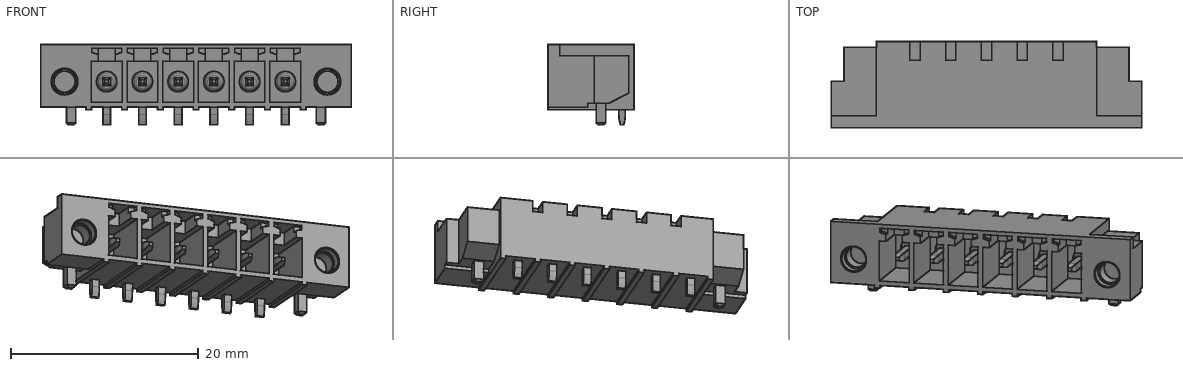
import cadquery as cq
import math


CONTACTS = 6
PITCH = 3.8
ROW_CENTERS = [(i - (CONTACTS - 1) / 2) * PITCH for i in range(CONTACTS)]
DIVIDERS = [(i - CONTACTS / 2) * PITCH for i in range(CONTACTS + 1)]
CONTACT_Z = 3.02

LENGTH = 33.15
DEPTH = 9.2
HEIGHT = 7.0
STANDOFF = 0.3
RIB_WIDTH = 0.6
CORE_LENGTH = CONTACTS * PITCH + RIB_WIDTH

FRONT_WALL = 1.3
FLANGE_TOP = 5.77
FLANGE_STEP_Y = 4.97
FLANGE_BACK_Y = 8.62
FLANGE_INNER_LENGTH = 30.43
RECESS_Y = 4.28
RECESS_Z = 0.7
SLOPE_FOOT_Y = 6.5
SLOPE_TOP_Z = 1.8

CELL_WIDTH = 3.28
CELL_BOTTOM = 0.8
CELL_TOP = 5.17
CELL_DEPTH = 6.55
KEY_WIDTH = 1.82
KEY_DEPTH = 3.3
KEY_TOP = 6.55
WING_WIDTH = 3.18
WING_DEPTH = 0.65
WING_OUTER_Z = 6.13
WING_INNER_Z = 5.9

COLLAR_BASE_RADIUS = 1.1
COLLAR_SHOULDER_RADIUS = 0.9
COLLAR_END_RADIUS = 0.7
COLLAR_CONE_HEIGHT = 0.53
COLLAR_HEIGHT = 0.7

SLOT_WIDTH = 1.1
SLOT_DEPTH = 2.0

HOLE_X = 14.02
HOLE_Z = CONTACT_Z
HOLE_RADIUS = 1.13
HOLE_DEPTH = 3.0
COUNTERBORE_RADIUS = 1.33
COUNTERBORE_DEPTH = 1.15
COUNTERBORE_CHAMFER = 0.1

TAIL_END_Z = -1.6

PIN_SIZE = 0.83
PIN_FRONT_Y = 1.4
PIN_END_SIZE = 0.35
PIN_POINT_LENGTH = 1.13
LEAD_Y = 7.92
LEAD_THICKNESS = 0.73

PEG_X = 13.33
PEG_Y = 5.67
PEG_SIZE = 1.03
PEG_CHAMFER = 0.23


def block(x, width, y0, y1, z0, z1):
    """Box centered on x, spanning y0..y1 and z0..z1."""
    box = cq.Workplane("XY").box(width, y1 - y0, z1 - z0, centered=(True, False, False))
    return box.translate((x, y0, z0))


def flanges():
    """Both end flanges as one bar: front wall, stepped ends and a sloped underside."""
    side = [
        (0, STANDOFF),
        (RECESS_Y, STANDOFF),
        (RECESS_Y, RECESS_Z),
        (SLOPE_FOOT_Y, RECESS_Z),
        (FLANGE_BACK_Y, SLOPE_TOP_Z),
        (FLANGE_BACK_Y, FLANGE_TOP),
        (FRONT_WALL, FLANGE_TOP),
        (FRONT_WALL, HEIGHT),
        (0, HEIGHT),
    ]
    bar = cq.Workplane("YZ").polyline(side).close().extrude(LENGTH / 2, both=True)
    step_width = (LENGTH - FLANGE_INNER_LENGTH) / 2
    for end in (-1, 1):
        x = end * (LENGTH - step_width) / 2
        bar = bar.cut(block(x, step_width, FLANGE_STEP_Y, DEPTH, 0, HEIGHT))
    return bar


def core():
    """Central block with standoff ribs under the dividers."""
    body = block(0, CORE_LENGTH, 0, DEPTH, STANDOFF, HEIGHT)
    for x in DIVIDERS:
        body = body.union(block(x, RIB_WIDTH, 0, DEPTH, 0, CELL_BOTTOM))
    return body


def cell_cavity(x):
    """Open cell with its keyway, less the collar left standing on the back wall."""
    cavity = block(x, CELL_WIDTH, 0, CELL_DEPTH, CELL_BOTTOM, CELL_TOP)
    cavity = cavity.union(block(x, KEY_WIDTH, 0, KEY_DEPTH, CELL_TOP, KEY_TOP))
    wings = [
        (x - WING_WIDTH / 2, KEY_TOP),
        (x - WING_WIDTH / 2, WING_OUTER_Z),
        (x - KEY_WIDTH / 2, WING_INNER_Z),
        (x + KEY_WIDTH / 2, WING_INNER_Z),
        (x + WING_WIDTH / 2, WING_OUTER_Z),
        (x + WING_WIDTH / 2, KEY_TOP),
    ]
    cavity = cavity.union(cq.Workplane("XZ").polyline(wings).close().extrude(-WING_DEPTH))
    return cavity.cut(collar(x))


def collar(x):
    """Tapered collar with a rounded shoulder around the pin."""
    shoulder_y = CELL_DEPTH - COLLAR_CONE_HEIGHT
    end_y = CELL_DEPTH - COLLAR_HEIGHT
    diagonal = math.sqrt(0.5)
    round_mid = (
        COLLAR_END_RADIUS + (COLLAR_SHOULDER_RADIUS - COLLAR_END_RADIUS) * diagonal,
        shoulder_y - (shoulder_y - end_y) * diagonal,
    )
    profile = (
        cq.Workplane("XY")
        .moveTo(0, CELL_DEPTH)
        .lineTo(COLLAR_BASE_RADIUS, CELL_DEPTH)
        .lineTo(COLLAR_SHOULDER_RADIUS, shoulder_y)
        .threePointArc(round_mid, (COLLAR_END_RADIUS, end_y))
        .lineTo(0, end_y)
        .close()
    )
    return profile.revolve(360, (0, 0), (0, 1)).translate((x, 0, CONTACT_Z))


def mounting_hole(x):
    """Blind counterbored hole with a chamfered mouth."""
    profile = [
        (0, 0),
        (COUNTERBORE_RADIUS + COUNTERBORE_CHAMFER, 0),
        (COUNTERBORE_RADIUS, COUNTERBORE_CHAMFER),
        (COUNTERBORE_RADIUS, COUNTERBORE_DEPTH),
        (HOLE_RADIUS, COUNTERBORE_DEPTH),
        (HOLE_RADIUS, HOLE_DEPTH),
        (0, HOLE_DEPTH),
    ]
    hole = cq.Workplane("XY").polyline(profile).close().revolve(360, (0, 0), (0, 1))
    return hole.translate((x, 0, HOLE_Z))


def rounded_bar(origin, across, normal, length, width, end_width, thickness):
    """Plate centered on origin that runs along (normal x across), both sides curving in at its far end."""
    inset = (width - end_width) / 2
    radius = (PIN_POINT_LENGTH**2 + inset**2) / (2 * inset)
    mid_angle = math.asin(PIN_POINT_LENGTH / radius) / 2
    side = width / 2
    end = end_width / 2
    taper = length - PIN_POINT_LENGTH
    mid_side = side - radius * (1 - math.cos(mid_angle))
    mid_taper = taper + radius * math.sin(mid_angle)
    return (
        cq.Workplane(cq.Plane(origin=origin, xDir=across, normal=normal))
        .moveTo(-side, 0)
        .lineTo(-side, taper)
        .threePointArc((-mid_side, mid_taper), (-end, length))
        .lineTo(end, length)
        .threePointArc((mid_side, mid_taper), (side, taper))
        .lineTo(side, 0)
        .close()
        .extrude(thickness / 2, both=True)
    )


def make_pin(x):
    """Right-angle pin: square bar narrowed on four sides, and a lead narrowed front and back."""
    bar_back = (x, LEAD_Y + LEAD_THICKNESS / 2, CONTACT_Z)
    bar_length = bar_back[1] - PIN_FRONT_Y
    flat = rounded_bar(bar_back, (1, 0, 0), (0, 0, -1), bar_length, PIN_SIZE, PIN_END_SIZE, PIN_SIZE)
    upright = rounded_bar(bar_back, (0, 0, 1), (1, 0, 0), bar_length, PIN_SIZE, PIN_END_SIZE, PIN_SIZE)
    lead_top = (x, LEAD_Y, CONTACT_Z)
    lead_length = CONTACT_Z - TAIL_END_Z
    lead = rounded_bar(lead_top, (0, 1, 0), (-1, 0, 0), lead_length, LEAD_THICKNESS, PIN_END_SIZE, PIN_SIZE)
    return flat.intersect(upright).union(lead)


def make_peg(x):
    """Square peg under a flange with a chamfered lower end."""
    half_size = PEG_SIZE / 2
    peg = block(x, PEG_SIZE, PEG_Y - half_size, PEG_Y + half_size, TAIL_END_Z, RECESS_Z)
    return peg.faces("<Z").chamfer(PEG_CHAMFER)


def make_housing(pins):
    """Header housing with cells, slots, mounting holes and a matching hole for each pin."""
    housing = core().union(flanges())
    for x in ROW_CENTERS:
        housing = housing.cut(cell_cavity(x))
    for x in DIVIDERS[1:-1]:
        housing = housing.cut(block(x, SLOT_WIDTH, DEPTH - SLOT_DEPTH, DEPTH, FLANGE_TOP, HEIGHT))
    for x in (-HOLE_X, HOLE_X):
        housing = housing.cut(mounting_hole(x))
    for pin in pins:
        housing = housing.cut(pin)
    return housing


pins = [make_pin(x) for x in ROW_CENTERS]
pegs = [make_peg(x) for x in (-PEG_X, PEG_X)]
housing = make_housing(pins)

result = cq.Compound.makeCompound([housing.val(), *[pin.val() for pin in pins], *[peg.val() for peg in pegs]])